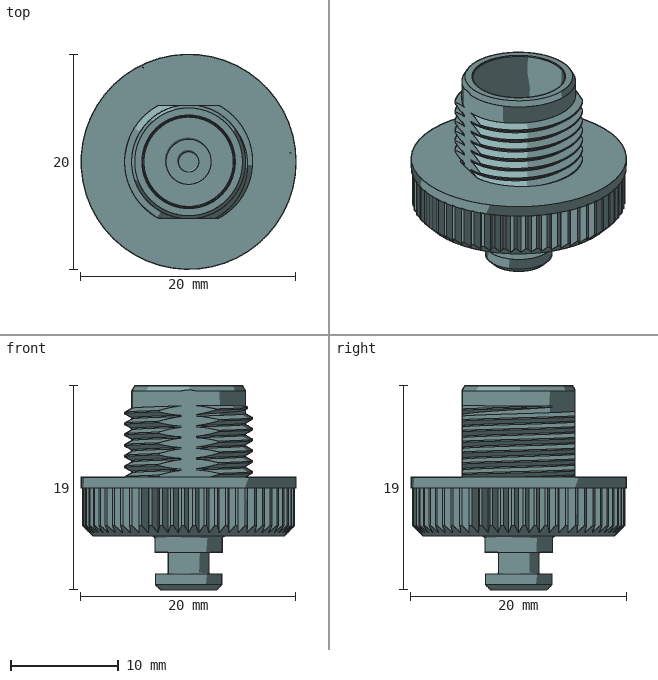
import cadquery as cq
import math

TIP_HEIGHT = 1.5
NECK_TOP = 3.5
KNURL_BOTTOM = 5.0
FLANGE_BOTTOM = 9.5
FLANGE_TOP = 10.5
SPOUT_TOP = 19.0

TIP_RADIUS = 3.1
TIP_CHAMFER = 0.5
NECK_RADIUS = 1.9
NECK_FILLET = 0.1
COLLAR_RADIUS = 3.15
COLLAR_FILLET = 0.2
KNURL_RADIUS = 9.87
KNURL_CHAMFER = 1.0
FLANGE_RADIUS = 10.0
SPOUT_RADIUS = 5.3
SPOUT_CHAMFER_HEIGHT = 0.5
SPOUT_CHAMFER_ANGLE = 30.0
SPOUT_CHAMFER_WIDTH = SPOUT_CHAMFER_HEIGHT * math.tan(math.radians(SPOUT_CHAMFER_ANGLE))
SPOUT_ACROSS_FLATS = 10.5

GROOVE_COUNT = 60
GROOVE_DEPTH = 0.67
GROOVE_ANGLE = 60.0

THREAD_ANGLE = 60.0
THREAD_PITCH = 1.0
THREAD_RADIUS = 5.95
THREAD_CREST_WIDTH = THREAD_PITCH / 8
THREAD_EMBED = 0.1
THREAD_START_DEPTH = 0.55
THREAD_START_Z = FLANGE_TOP - THREAD_START_DEPTH
FULL_TURNS = 6.75
RUNOUT_TURNS = 0.375
POINTS_PER_TURN = 24

BORE_FLOOR = FLANGE_TOP
BORE_MOUTH_RADIUS = 4.27
BORE_FLOOR_RADIUS = 4.15
BORE_CHAMFER = 0.08
RECESS_RADIUS = 2.1
RECESS_FILLET = 0.2
RECESS_DEPTH = 3.0
PORT_RADIUS = 0.95
PORT_FILLET = 0.2
PORT_FLOOR_FILLET = 0.18
PORT_DEPTH = 2.0


def revolve_profile(profile):
    """Turn a closed radius/height outline around the Z axis."""
    return profile.close().revolve(360, (0, 0, 0), (0, 1, 0))


def make_lower_body():
    """Tip, neck, collar, knurled rim (still smooth) and flange."""
    profile = (
        cq.Workplane("XZ")
        .lineTo(TIP_RADIUS - TIP_CHAMFER, 0)
        .lineTo(TIP_RADIUS, TIP_CHAMFER)
        .lineTo(TIP_RADIUS, TIP_HEIGHT)
        .lineTo(NECK_RADIUS + NECK_FILLET, TIP_HEIGHT)
        .radiusArc((NECK_RADIUS, TIP_HEIGHT + NECK_FILLET), NECK_FILLET)
        .lineTo(NECK_RADIUS, NECK_TOP - NECK_FILLET)
        .radiusArc((NECK_RADIUS + NECK_FILLET, NECK_TOP), NECK_FILLET)
        .lineTo(COLLAR_RADIUS, NECK_TOP)
        .lineTo(COLLAR_RADIUS, KNURL_BOTTOM - COLLAR_FILLET)
        .radiusArc((COLLAR_RADIUS + COLLAR_FILLET, KNURL_BOTTOM), COLLAR_FILLET)
        .lineTo(KNURL_RADIUS - KNURL_CHAMFER, KNURL_BOTTOM)
        .lineTo(KNURL_RADIUS, KNURL_BOTTOM + KNURL_CHAMFER)
        .lineTo(KNURL_RADIUS, FLANGE_BOTTOM)
        .lineTo(FLANGE_RADIUS, FLANGE_BOTTOM)
        .lineTo(FLANGE_RADIUS, FLANGE_TOP)
        .lineTo(0, FLANGE_TOP)
    )
    return revolve_profile(profile)


def make_knurl_grooves():
    """V-shaped cutters spaced evenly around the rim, stopping under the flange."""
    root = KNURL_RADIUS - GROOVE_DEPTH
    mouth = FLANGE_RADIUS + GROOVE_DEPTH
    half_width = (mouth - root) * math.tan(math.radians(GROOVE_ANGLE / 2))
    corners = [(0, 0), (mouth - root, -half_width), (mouth - root, half_width)]
    height = FLANGE_BOTTOM - KNURL_BOTTOM
    cutter = cq.Workplane("XY").polyline(corners).close().extrude(height).val()
    return (
        cq.Workplane("XY", origin=(0, 0, KNURL_BOTTOM))
        .polarArray(radius=root, startAngle=0, angle=360, count=GROOVE_COUNT)
        .eachpoint(cutter)
    )


def make_thread_ridge(first_turn, last_turn, first_crest, last_crest):
    """Helical ridge whose crest radius changes evenly from first_crest to last_crest."""
    steps = math.ceil((last_turn - first_turn) * POINTS_PER_TURN)
    fractions = [i / steps for i in range(steps + 1)]
    inner = SPOUT_RADIUS - THREAD_EMBED
    flank_slope = math.tan(math.radians(THREAD_ANGLE / 2))

    def helix_edge(on_crest, side):
        points = []
        for fraction in fractions:
            turn = first_turn + fraction * (last_turn - first_turn)
            crest = first_crest + fraction * (last_crest - first_crest)
            radius = crest if on_crest else inner
            half_width = THREAD_CREST_WIDTH / 2 + (crest - radius) * flank_slope
            angle = 2 * math.pi * turn
            height = THREAD_START_Z + turn * THREAD_PITCH + side * half_width
            points.append(cq.Vector(radius * math.cos(angle), radius * math.sin(angle), height))
        return cq.Edge.makeSpline(points, parameters=fractions)

    corners = [
        helix_edge(False, -1),
        helix_edge(True, -1),
        helix_edge(True, 1),
        helix_edge(False, 1),
    ]
    neighbours = corners[1:] + corners[:1]
    faces = [cq.Face.makeRuledSurface(a, b) for a, b in zip(corners, neighbours)]
    for end in (0, 1):
        cap = cq.Wire.makePolygon([edge.positionAt(end) for edge in corners], close=True)
        faces.append(cq.Face.makeFromWires(cap))
    return cq.Workplane(cq.Solid.makeSolid(cq.Shell.makeShell(faces)))


def make_spout():
    """Threaded spout with a chamfered lip and two opposite flats."""
    profile = (
        cq.Workplane("XZ")
        .moveTo(0, FLANGE_BOTTOM)
        .lineTo(SPOUT_RADIUS, FLANGE_BOTTOM)
        .lineTo(SPOUT_RADIUS, SPOUT_TOP - SPOUT_CHAMFER_HEIGHT)
        .lineTo(SPOUT_RADIUS - SPOUT_CHAMFER_WIDTH, SPOUT_TOP)
        .lineTo(0, SPOUT_TOP)
    )
    sunk_crest = SPOUT_RADIUS - THREAD_EMBED / 2
    runout_end = FULL_TURNS + RUNOUT_TURNS
    full_ridge = make_thread_ridge(0, FULL_TURNS, THREAD_RADIUS, THREAD_RADIUS)
    runout = make_thread_ridge(FULL_TURNS, runout_end, THREAD_RADIUS, sunk_crest)
    flats = cq.Workplane("XY", origin=(0, 0, FLANGE_BOTTOM)).box(
        2 * FLANGE_RADIUS,
        SPOUT_ACROSS_FLATS,
        SPOUT_TOP - FLANGE_BOTTOM,
        centered=(True, True, False),
    )
    return revolve_profile(profile).union(full_ridge).union(runout).intersect(flats)


def make_bore():
    """Cutter for the tapered bore, the central recess and the small port below it."""
    recess_floor = BORE_FLOOR - RECESS_DEPTH
    port_floor = recess_floor - PORT_DEPTH
    profile = (
        cq.Workplane("XZ")
        .moveTo(0, SPOUT_TOP)
        .lineTo(BORE_MOUTH_RADIUS + BORE_CHAMFER, SPOUT_TOP)
        .lineTo(BORE_MOUTH_RADIUS, SPOUT_TOP - BORE_CHAMFER)
        .lineTo(BORE_FLOOR_RADIUS, BORE_FLOOR)
        .lineTo(RECESS_RADIUS + RECESS_FILLET, BORE_FLOOR)
        .radiusArc((RECESS_RADIUS, BORE_FLOOR - RECESS_FILLET), -RECESS_FILLET)
        .lineTo(RECESS_RADIUS, recess_floor)
        .lineTo(PORT_RADIUS + PORT_FILLET, recess_floor)
        .radiusArc((PORT_RADIUS, recess_floor - PORT_FILLET), -PORT_FILLET)
        .lineTo(PORT_RADIUS, port_floor + PORT_FLOOR_FILLET)
        .radiusArc((PORT_RADIUS - PORT_FLOOR_FILLET, port_floor), PORT_FLOOR_FILLET)
        .lineTo(0, port_floor)
    )
    return revolve_profile(profile)


lower_body = make_lower_body().cut(make_knurl_grooves())
result = lower_body.union(make_spout()).cut(make_bore())